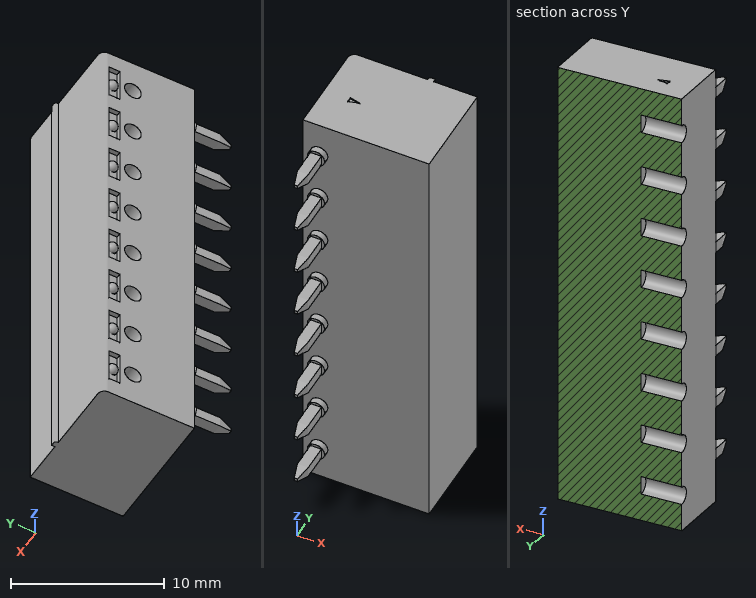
import cadquery as cq

pole_count = 8
pitch = 3.81
end_margin = 2.6
body_width = 9.2
body_depth = 7.0
body_height = (pole_count - 1) * pitch + 2 * end_margin
corner_radius = 0.5

rail_start = 5.57
rail_width = 0.45
rail_height = 0.25
rail_radius = 0.2

pin_x = 1.2
pin_projection = 3.4
collar_diameter = 1.25
collar_length = 0.48
pin_side = 0.8
tip_length = 1.0
tip_side = 0.25

hole_y = 4.64
hole_diameter = 1.25
hole_depth = 3.0
slot_y = 6.03
slot_width = 0.8
slot_height = 2.6
slot_depth = 0.35
dome_projection = 0.1
dome_radius = 0.4

arrow_start = 1.85
arrow_y = 3.03
arrow_length = 0.8
arrow_width = 0.4
arrow_depth = 0.1

pole_heights = [end_margin + index * pitch for index in range(pole_count)]


def make_housing():
    housing = cq.Workplane("XY").box(body_width, body_depth, body_height, centered=False)
    return housing.edges("<X and >Y").fillet(corner_radius)


def make_rail():
    rail = (
        cq.Workplane("XY")
        .box(rail_width, 2 * rail_height, body_height, centered=False)
        .edges("<X and >Y")
        .fillet(rail_radius)
    )
    return rail.translate((rail_start, body_depth - rail_height, 0))


def make_pin(z):
    base = cq.Workplane("XZ", origin=(pin_x, 0, z))
    collar = base.circle(collar_diameter / 2).extrude(collar_length)
    shaft_length = pin_projection - tip_length
    shaft = base.rect(pin_side, pin_side).extrude(shaft_length)
    tip = (
        base.workplane(offset=shaft_length)
        .rect(pin_side, pin_side)
        .workplane(offset=tip_length)
        .rect(tip_side, tip_side)
        .loft(ruled=True)
    )
    return collar.union(shaft).union(tip)


def make_hole(z):
    return cq.Workplane("YZ", origin=(0, hole_y, z)).circle(hole_diameter / 2).extrude(hole_depth)


def make_slot(z):
    return cq.Workplane("YZ", origin=(0, slot_y, z)).rect(slot_width, slot_height).extrude(slot_depth)


def make_dome(z):
    return cq.Workplane("XY", origin=(dome_radius - dome_projection, slot_y, z)).sphere(dome_radius)


def make_arrow():
    return (
        cq.Workplane("XY", origin=(arrow_start, arrow_y, body_height))
        .moveTo(0, -arrow_width / 2)
        .lineTo(arrow_length, 0)
        .lineTo(0, arrow_width / 2)
        .close()
        .extrude(-arrow_depth)
    )


result = make_housing().union(make_rail()).cut(make_arrow())
for pole_z in pole_heights:
    result = result.cut(make_hole(pole_z)).cut(make_slot(pole_z))
    result = result.union(make_dome(pole_z)).union(make_pin(pole_z))